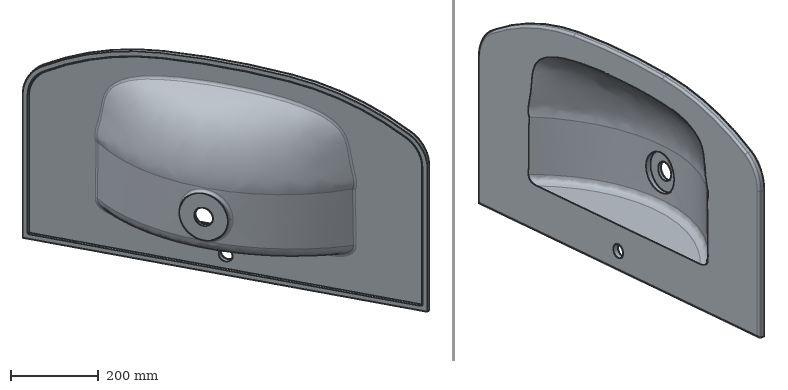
import cadquery as cq
import math


WIDTH = 996.0
HEIGHT = 543.0
SLAB_THICKNESS = 17.0
FACE_ROUND = 6.0
CROWN_RADIUS = 2092.0
SHOULDER_RADIUS = 692.0
CORNER_RADIUS = 93.0
SHOULDER_END_ANGLE = math.radians(30)

BORDER = 12.0
RECESS_DEPTH = 3.0
RECESS_CORNER_ROUND = 6.0
RECESS_FLOOR_Y = RECESS_DEPTH - SLAB_THICKNESS

BOWL_DEPTH = 137.0
WALL = 10.0
TROUGH_BASE_RADIUS = 475.0
TROUGH_TOP_RADIUS = 464.0
DOME_FLATTENING = 418.0
DOME_START = 279.0
DOME_RADIUS = 229.0
DOME_HEIGHT = 215.0
DOME_STEPS = 6
BOWL_HALF_WIDTH_LIMIT = 398.0
BOWL_BOTTOM = 107.0
BOTTOM_DRAFT = math.radians(4)
BOTTOM_ROUND = 30.0
RIM_FILLET = 9.0
OVERLAP = 20.0
SELECT_MARGIN = 1.0

TOTAL_DEPTH = 147.0
DRAIN_HEIGHT = 209.0
DRAIN_BOSS_RADIUS = 60.0
DRAIN_BOSS_FILLET = 7.0
DRAIN_HOLE_RADIUS = 23.0
DRAIN_SEAT_RADIUS = DRAIN_BOSS_RADIUS - WALL
DRAIN_FLOOR = 9.0
TAP_HEIGHT = 50.0
TAP_HOLE_RADIUS = 17.0


def on_circle(center, radius, angle):
    """Point on a circle, the angle measured from the +Z direction toward +X."""
    return center[0] + radius * math.sin(angle), center[1] + radius * math.cos(angle)


def slab_outline(inset, y):
    """Outline set in by `inset`: flat base, straight sides and a bowed edge of five tangent arcs."""
    half_width = WIDTH / 2
    turn = math.sin(SHOULDER_END_ANGLE)
    crown_end_angle = math.asin(
        (half_width - SHOULDER_RADIUS * turn - CORNER_RADIUS * (1 - turn)) / (CROWN_RADIUS - SHOULDER_RADIUS)
    )
    crown_center = (0, HEIGHT - CROWN_RADIUS)
    shoulder_center = on_circle(crown_center, CROWN_RADIUS - SHOULDER_RADIUS, crown_end_angle)
    corner_center = on_circle(shoulder_center, SHOULDER_RADIUS - CORNER_RADIUS, SHOULDER_END_ANGLE)

    crown = CROWN_RADIUS - inset
    shoulder = SHOULDER_RADIUS - inset
    corner = CORNER_RADIUS - inset
    side_end_angle = math.pi / 2
    side_end = on_circle(corner_center, corner, side_end_angle)
    corner_middle = on_circle(corner_center, corner, (SHOULDER_END_ANGLE + side_end_angle) / 2)
    corner_end = on_circle(corner_center, corner, SHOULDER_END_ANGLE)
    shoulder_middle = on_circle(shoulder_center, shoulder, (crown_end_angle + SHOULDER_END_ANGLE) / 2)
    shoulder_end = on_circle(shoulder_center, shoulder, crown_end_angle)

    def mirrored(point):
        return -point[0], point[1]

    return (
        cq.Workplane("XZ", origin=(0, y, 0))
        .moveTo(inset - half_width, inset)
        .lineTo(half_width - inset, inset)
        .lineTo(*side_end)
        .threePointArc(corner_middle, corner_end)
        .threePointArc(shoulder_middle, shoulder_end)
        .threePointArc((0, HEIGHT - inset), mirrored(shoulder_end))
        .threePointArc(mirrored(shoulder_middle), mirrored(corner_end))
        .threePointArc(mirrored(corner_middle), mirrored(side_end))
        .close()
    )


def make_slab():
    slab = slab_outline(0, 0).extrude(SLAB_THICKNESS).faces(">Y").edges().fillet(FACE_ROUND)
    recess = (
        slab_outline(BORDER, RECESS_FLOOR_Y)
        .extrude(2 * RECESS_DEPTH)
        .edges("|Y and <Z")
        .fillet(RECESS_CORNER_ROUND)
        .faces(">Y")
        .chamfer(RECESS_DEPTH)
    )
    return slab.cut(recess)


def bowl_section(z, bottom_y, radius):
    """Wire at height z: an arc bulging toward -Y, closed by a chord in front of the slab."""
    rise = OVERLAP - bottom_y
    half_chord = math.sqrt(rise * (2 * radius - rise))
    return (
        cq.Workplane("XY", origin=(0, 0, z))
        .moveTo(-half_chord, OVERLAP)
        .threePointArc((0, bottom_y), (half_chord, OVERLAP))
        .close()
        .val()
    )


def bowl_body(inset):
    """Bowl whose surface lies `inset` inside the outer one: a trough running up into a dome."""
    depth_y = inset - BOWL_DEPTH
    dome_radius = DOME_RADIUS - inset
    dome_height = DOME_HEIGHT - inset
    sections = []
    for step in range(DOME_STEPS + 1):
        climb = dome_height * math.sin(math.pi / 2 * step / DOME_STEPS)
        bottom_y = depth_y + dome_radius - math.sqrt(dome_radius**2 - climb**2)
        radius = TROUGH_TOP_RADIUS - inset + DOME_FLATTENING * (climb / dome_height) ** 3
        sections.append(bowl_section(DOME_START + climb, bottom_y, radius))
    trough_base = bowl_section(0, depth_y, TROUGH_BASE_RADIUS - inset)
    trough = cq.Workplane(cq.Solid.makeLoft([trough_base, sections[0]], True))
    body = trough.union(cq.Workplane(cq.Solid.makeLoft(sections)))

    bottom = BOWL_BOTTOM + inset
    draft = math.tan(BOTTOM_DRAFT)
    reach = 2 * BOWL_DEPTH
    keep = (
        cq.Workplane("YZ")
        .polyline(
            [
                (OVERLAP, bottom - draft * (SLAB_THICKNESS + OVERLAP)),
                (OVERLAP, HEIGHT),
                (-reach, HEIGHT),
                (-reach, bottom + draft * (reach - SLAB_THICKNESS)),
            ]
        )
        .close()
        .extrude(WIDTH / 2, both=True)
    )
    body = body.intersect(keep)
    return body.faces("<Z").edges("<Y").fillet(BOTTOM_ROUND - inset)


def along_y(radius, z, start_y, end_y):
    """Cylinder parallel to Y, centred on the width, from start_y down to end_y."""
    return cq.Workplane("XZ", origin=(0, start_y, z)).circle(radius).extrude(start_y - end_y)


def fillet_in_box(body, x, y_range, z_range, radius):
    """Fillet every edge lying within |X| <= x and the given Y and Z ranges."""
    box = cq.selectors.BoxSelector(
        (-x - SELECT_MARGIN, y_range[0] - SELECT_MARGIN, z_range[0] - SELECT_MARGIN),
        (x + SELECT_MARGIN, y_range[1] + SELECT_MARGIN, z_range[1] + SELECT_MARGIN),
        boundingbox=True,
    )
    return body.edges(box).fillet(radius)


def add_bowl(slab):
    """Join the outer bowl to the slab, keeping only what lies behind the slab's mid-plane."""
    mid_plane = cq.Workplane("XZ", origin=(0, -SLAB_THICKNESS / 2, 0))
    underside = mid_plane.rect(2 * WIDTH, 2 * HEIGHT).extrude(WIDTH)
    basin = slab.union(bowl_body(0).intersect(underside))
    rim_y_range = (RECESS_FLOOR_Y, RECESS_FLOOR_Y)
    rim_z_range = (BOWL_BOTTOM - SLAB_THICKNESS, DOME_START + DOME_HEIGHT)
    return fillet_in_box(basin, BOWL_HALF_WIDTH_LIMIT, rim_y_range, rim_z_range, RIM_FILLET)


def add_drain_boss(basin):
    boss = along_y(DRAIN_BOSS_RADIUS, DRAIN_HEIGHT, WALL - BOWL_DEPTH, -TOTAL_DEPTH)
    foot_y_range = (-BOWL_DEPTH, WALL - BOWL_DEPTH)
    foot_z_range = (DRAIN_HEIGHT - DRAIN_BOSS_RADIUS, DRAIN_HEIGHT + DRAIN_BOSS_RADIUS)
    return fillet_in_box(basin.union(boss), DRAIN_BOSS_RADIUS, foot_y_range, foot_z_range, DRAIN_BOSS_FILLET)


def cut_drain(basin):
    """A round seat sunk into the bowl floor, with the outlet hole through what is left."""
    seat = along_y(DRAIN_SEAT_RADIUS, DRAIN_HEIGHT, 0, DRAIN_FLOOR - TOTAL_DEPTH)
    outlet = along_y(DRAIN_HOLE_RADIUS, DRAIN_HEIGHT, 0, -TOTAL_DEPTH)
    return basin.cut(seat).cut(outlet)


result = add_bowl(make_slab())
result = add_drain_boss(result)
result = result.cut(bowl_body(WALL))
result = cut_drain(result)
result = result.cut(along_y(TAP_HOLE_RADIUS, TAP_HEIGHT, 0, -SLAB_THICKNESS))